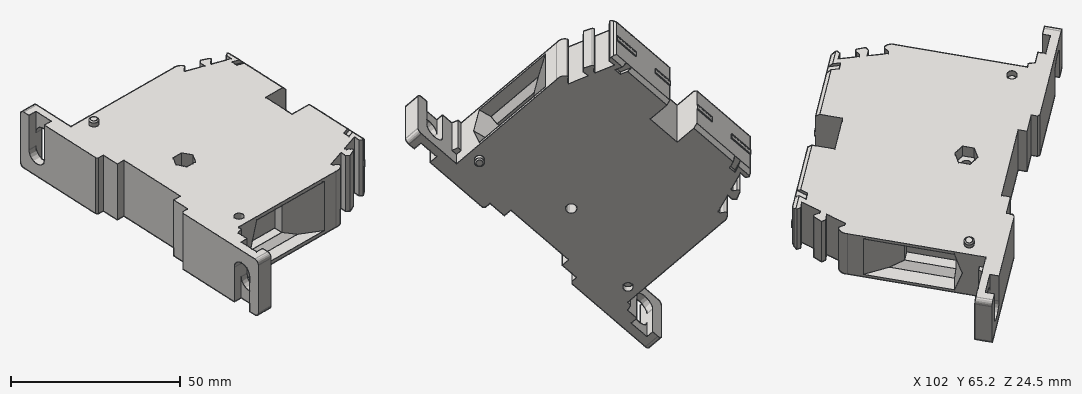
import cadquery as cq
import math

thickness = 20.7
half_thick = thickness / 2
foot_length = 102.0
foot_height = 5.2
foot_corner_radius = 1.5
body_half_width = 34.85
cap_top = 64.9

relief_outer_half = 18.1
relief_outer_height = 2.5
relief_inner_half = 12.1
relief_chamfer = 0.6

top_notch_half = 5.65
top_notch_floor = 56.7

cap_half_width = 28.0
cap_bevel = (28.65, 64.3)
cap_tip = (29.15, 63.3)
cap_underside = (28.5, 62.3)
lip_root = (26.4, 62.4)
lip_pitch = (2.8, -8.1)
shoulder_end_height = 46.8

lip_wall_foot = (2.1, -6.05)
lip_inner_foot = (2.8, -5.9)
lip_crown_inner = (3.5, -4.9)
lip_crown_peak = (4.0, -4.45)
lip_crown_outer = (4.6, -4.8)
lip_tip = (5.7, -7.2)
lip_underside = (4.8, -8.2)
shoulder_crown_mid = (5.2, -5.3)
shoulder_crown_outer = (4.4, -4.5)

edge_chamfer = 1.3

mark_height = 0.3
mark_depth = 2.3
mark_spans = ((5.65, 11.95), (20.0, 28.0))

slant_pocket_floor = 61.4
slant_pocket_inner = 22.9
slant_pocket_width = 2.2
slant_pocket_angle = 20.0
slant_pocket_depth = 1.3

gusset_height = 1.95
gusset_top_width = 1.3
gusset_base_width = 1.95
gusset_length = 15.4

slot_x = 44.0
slot_width = 6.6
slot_length = 11.5
slot_step_height = 2.8

nut_center_y = 18.3
nut_across_flats = 6.0
nut_depth = 5.0
screw_diameter = 3.3

pin_x = 31.1
pin_y = 11.0
pin_diameter = 3.0
pin_height = 1.9
pin_chamfer = 0.45
pin_hole_depth = 2.5

funnel_half = 9.08
funnel_taper = 1.5
funnel_top = 42.1
funnel_inner_top = 31.0
funnel_apex = 12.3
funnel_vee_drop = 2.35
funnel_vee_rise = 1.9
funnel_straight_depth = 4.1
funnel_ramp_depth = 6.5
funnel_depth = 9.5


def offset_point(point, offset):
    return (point[0] + offset[0], point[1] + offset[1])


def body_half():
    """Right half of the constant section, extruded through the thickness."""
    next_root = offset_point(lip_root, lip_pitch)
    outline = (
        cq.Workplane("XY", origin=(0, 0, -half_thick))
        .moveTo(0, foot_height)
        .lineTo(relief_inner_half, foot_height)
        .lineTo(relief_inner_half, relief_outer_height)
        .lineTo(relief_outer_half, relief_outer_height)
        .lineTo(relief_outer_half, relief_chamfer)
        .lineTo(relief_outer_half + relief_chamfer, 0)
        .lineTo(foot_length / 2, 0)
        .lineTo(foot_length / 2, foot_height)
        .lineTo(body_half_width, foot_height)
        .lineTo(body_half_width, shoulder_end_height)
        .threePointArc(
            offset_point(next_root, shoulder_crown_mid),
            offset_point(next_root, shoulder_crown_outer),
        )
    )
    outline = lip_crown_and_wall(outline, next_root)
    outline = (
        outline.lineTo(*offset_point(lip_root, lip_underside))
        .lineTo(*offset_point(lip_root, lip_tip))
        .lineTo(*offset_point(lip_root, lip_crown_outer))
    )
    outline = lip_crown_and_wall(outline, lip_root)
    outline = (
        outline.lineTo(*cap_underside)
        .lineTo(*cap_tip)
        .lineTo(*cap_bevel)
        .lineTo(cap_half_width, cap_top)
        .lineTo(top_notch_half, cap_top)
        .lineTo(top_notch_half, top_notch_floor)
        .lineTo(0, top_notch_floor)
        .close()
    )
    return outline.extrude(thickness)


def lip_crown_and_wall(outline, root):
    """Round over a lip, step down to the slanted wall and follow it up to its root."""
    return (
        outline.threePointArc(
            offset_point(root, lip_crown_peak),
            offset_point(root, lip_crown_inner),
        )
        .lineTo(*offset_point(root, lip_inner_foot))
        .lineTo(*offset_point(root, lip_wall_foot))
        .lineTo(*root)
    )


def box(x_range, y_range, z_range):
    """Axis-aligned block spanning the given ranges."""
    size = [high - low for low, high in (x_range, y_range, z_range)]
    corner = (x_range[0], y_range[0], z_range[0])
    return cq.Workplane("XY").box(*size, centered=False).translate(corner)


def half_turn(shape):
    """The same shape turned half a turn about the Y axis."""
    return shape.rotate((0, 0, 0), (0, 1, 0), 180)


def foot_corner_limits():
    """Slab with rounded edges that rounds the foot ends."""
    slab = cq.Workplane("XY").box(foot_length, cap_top, thickness, centered=(True, False, True))
    return slab.edges("|Y").fillet(foot_corner_radius)


def top_edge_chamfer(side):
    """Wedge removed along the top edge on one broad face."""
    wedge = (
        cq.Workplane("YZ", origin=(-foot_length / 2, 0, 0))
        .moveTo(cap_top - edge_chamfer, side * half_thick)
        .lineTo(cap_top, side * (half_thick - edge_chamfer))
        .lineTo(cap_top, side * half_thick)
        .close()
    )
    return wedge.extrude(foot_length)


def slant_pocket():
    """Slanted pocket open to the top edge of the upper broad face, right side."""
    rise = cap_top - slant_pocket_floor
    shift = rise * math.tan(math.radians(slant_pocket_angle))
    outer = slant_pocket_inner + slant_pocket_width
    return (
        cq.Workplane("XY", origin=(0, 0, half_thick - slant_pocket_depth))
        .moveTo(slant_pocket_inner, slant_pocket_floor)
        .lineTo(outer, slant_pocket_floor)
        .lineTo(outer - shift, cap_top)
        .lineTo(slant_pocket_inner - shift, cap_top)
        .close()
        .extrude(slant_pocket_depth)
    )


def gusset():
    """Right gusset, flush with the upper broad face."""
    return (
        cq.Workplane("XY", origin=(0, 0, half_thick - gusset_length))
        .moveTo(body_half_width, foot_height)
        .lineTo(body_half_width + gusset_base_width, foot_height)
        .lineTo(body_half_width + gusset_top_width, foot_height + gusset_height)
        .lineTo(body_half_width, foot_height + gusset_height)
        .close()
        .extrude(gusset_length)
    )


def mounting_slot():
    """Right slot; lower part runs out at the -Z face, upper part at the +Z face."""
    slot = (
        cq.Workplane("XZ", origin=(slot_x, 0, 0))
        .slot2D(slot_length, slot_width, 90)
        .extrude(-foot_height)
    )
    x_range = (slot_x - slot_width / 2, slot_x + slot_width / 2)
    straight_end = (slot_length - slot_width) / 2
    lower = box(x_range, (0, slot_step_height), (-half_thick, straight_end))
    upper = box(x_range, (slot_step_height, foot_height), (-straight_end, half_thick))
    return slot.union(lower).union(upper)


def vee_section(rise):
    """Funnel outline in (Y, Z) with its vee bottom lifted by a rise."""
    side_bottom = funnel_apex + funnel_vee_drop + rise
    return [
        (funnel_top, -funnel_half),
        (side_bottom, -funnel_half),
        (funnel_apex + rise, 0),
        (side_bottom, funnel_half),
        (funnel_top, funnel_half),
    ]


def funnel():
    """Right wire funnel: tapered side walls, ramped roof and a rising vee bottom."""
    mouth_x = body_half_width
    throat_x = mouth_x - funnel_straight_depth
    ramp_x = mouth_x - funnel_ramp_depth
    floor_x = mouth_x - funnel_depth
    narrow_half = funnel_half - funnel_taper

    vee = (
        cq.Workplane("YZ", origin=(floor_x, 0, 0))
        .polyline(vee_section(funnel_vee_rise))
        .close()
        .workplane(offset=funnel_depth)
        .polyline(vee_section(0))
        .close()
        .loft(ruled=True)
    )
    side_walls = (
        cq.Workplane("XZ")
        .moveTo(mouth_x, -funnel_half)
        .lineTo(throat_x, -funnel_half)
        .lineTo(ramp_x, -narrow_half)
        .lineTo(floor_x, -narrow_half)
        .lineTo(floor_x, narrow_half)
        .lineTo(ramp_x, narrow_half)
        .lineTo(throat_x, funnel_half)
        .lineTo(mouth_x, funnel_half)
        .close()
        .extrude(-funnel_top)
    )
    roof = (
        cq.Workplane("XY", origin=(0, 0, -half_thick))
        .moveTo(mouth_x, funnel_top)
        .lineTo(ramp_x, funnel_inner_top)
        .lineTo(floor_x, funnel_inner_top)
        .lineTo(floor_x, 0)
        .lineTo(mouth_x, 0)
        .close()
        .extrude(thickness)
    )
    return vee.intersect(side_walls).intersect(roof)


def locating_pin():
    """Pin on the upper broad face, left side."""
    return (
        cq.Workplane("XY", origin=(-pin_x, pin_y, half_thick))
        .circle(pin_diameter / 2)
        .extrude(pin_height)
        .faces(">Z")
        .chamfer(pin_chamfer)
    )


def locating_hole():
    """Blind hole in the upper broad face, right side."""
    return (
        cq.Workplane("XY", origin=(pin_x, pin_y, half_thick))
        .circle(pin_diameter / 2)
        .extrude(-pin_hole_depth)
    )


def nut_recess_and_hole():
    """Hexagonal recess, points along Y, with a screw hole through the part."""
    across_corners = nut_across_flats / math.cos(math.radians(30))
    recess = (
        cq.Workplane("XY", origin=(0, nut_center_y, half_thick))
        .transformed(rotate=(0, 0, 90))
        .polygon(6, across_corners)
        .extrude(-nut_depth)
    )
    hole = (
        cq.Workplane("XY", origin=(0, nut_center_y, -half_thick))
        .circle(screw_diameter / 2)
        .extrude(thickness)
    )
    return recess.union(hole)


right_half = body_half()
result = right_half.union(right_half.mirror("YZ")).intersect(foot_corner_limits())

for side in (1, -1):
    result = result.cut(top_edge_chamfer(side))

for inner, outer in mark_spans:
    mark = box((inner, outer), (cap_top, cap_top + mark_height), (-mark_depth / 2, mark_depth / 2))
    result = result.union(mark).union(mark.mirror("YZ"))

for added in (gusset(), locating_pin()):
    result = result.union(added).union(half_turn(added))

for removed in (mounting_slot(), funnel(), locating_hole()):
    result = result.cut(removed).cut(half_turn(removed))

for removed in (slant_pocket(), slant_pocket().mirror("YZ")):
    result = result.cut(removed).cut(half_turn(removed))

result = result.cut(nut_recess_and_hole())